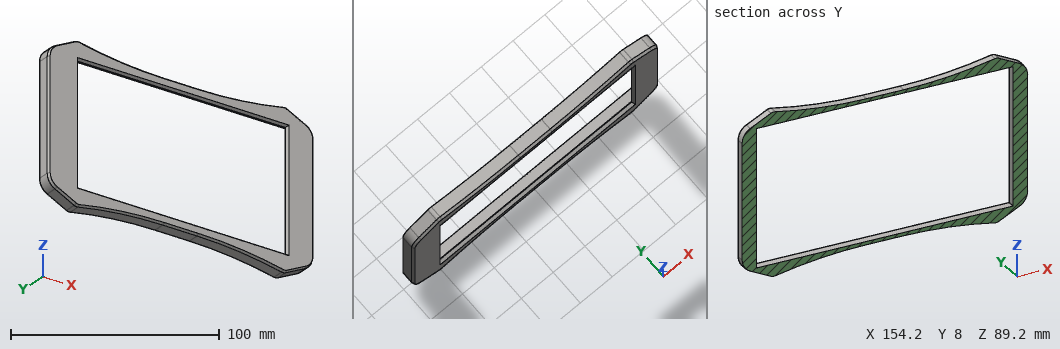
import cadquery as cq
import math

width = 154.2
depth = 8.0
half_width = width / 2

waist_half_length = 10.0
waist_half_height = 39.65
flank_radius = 250.0
apex_x = 60.4
shoulder_foot_z = 36.5
apex_fillet = 3.5
side_fillet = 8.0

rim_bevel_inset = 0.7
rim_bevel_depth = 1.5

window_width = 121.4
window_height = 69.0
window_center_x = 1.0
window_bevel_inset = 0.7
window_bevel_depth = 1.9
lip_depth = 2.2

pocket_width = 138.0
pocket_height = 75.2


def flank_z(x):
    """Half height of the outline on the concave flank, tangent to the waist."""
    run = x - waist_half_length
    return waist_half_height + flank_radius - math.sqrt(flank_radius**2 - run**2)


def outline_blank():
    """Full-depth block with rounded corners and a beveled front rim."""
    apex_z = flank_z(apex_x)
    flank_mid_x = (waist_half_length + apex_x) / 2
    flank_mid_z = flank_z(flank_mid_x)
    side_corner_min_x = (apex_x + half_width) / 2
    blank = (
        cq.Workplane("XZ")
        .moveTo(-waist_half_length, waist_half_height)
        .lineTo(waist_half_length, waist_half_height)
        .threePointArc((flank_mid_x, flank_mid_z), (apex_x, apex_z))
        .lineTo(half_width, shoulder_foot_z)
        .lineTo(half_width, -shoulder_foot_z)
        .lineTo(apex_x, -apex_z)
        .threePointArc((flank_mid_x, -flank_mid_z), (waist_half_length, -waist_half_height))
        .lineTo(-waist_half_length, -waist_half_height)
        .threePointArc((-flank_mid_x, -flank_mid_z), (-apex_x, -apex_z))
        .lineTo(-half_width, -shoulder_foot_z)
        .lineTo(-half_width, shoulder_foot_z)
        .lineTo(-apex_x, apex_z)
        .threePointArc((-flank_mid_x, flank_mid_z), (-waist_half_length, waist_half_height))
        .close()
        .extrude(-depth)
    )
    corners = blank.edges("|Y")
    side_corners = corners.filter(lambda edge: abs(edge.Center().x) > side_corner_min_x)
    blank = side_corners.fillet(side_fillet)
    corners = blank.edges("|Y")
    apex_corners = corners.filter(lambda edge: math.isclose(abs(edge.Center().x), apex_x))
    blank = apex_corners.fillet(apex_fillet)
    return blank.faces("<Y").chamfer(rim_bevel_depth, rim_bevel_inset)


def box_cutter(size_x, size_z, center_x, start_y):
    """Rectangular cutter running from start_y through the back face."""
    return (
        cq.Workplane("XZ", origin=(center_x, start_y, 0))
        .rect(size_x, size_z)
        .extrude(start_y - depth)
    )


def window_bevel():
    """Tapered cutter that widens the window toward the front face."""
    return (
        cq.Workplane("XZ", origin=(window_center_x, 0, 0))
        .rect(window_width + 2 * window_bevel_inset, window_height + 2 * window_bevel_inset)
        .workplane(offset=-window_bevel_depth)
        .rect(window_width, window_height)
        .loft(ruled=True)
    )


window = box_cutter(window_width, window_height, window_center_x, 0)
pocket = box_cutter(pocket_width, pocket_height, 0, lip_depth)

result = outline_blank().cut(window).cut(window_bevel()).cut(pocket)